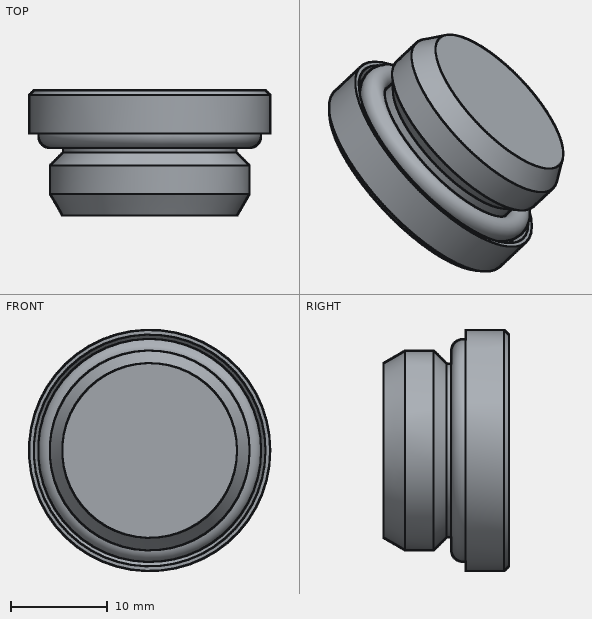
import cadquery as cq
import math


head_radius = 12.5
head_thickness = 4.5
back_chamfer = 0.5

neck_radius = 9.0
neck_end = 6.45
plug_radius = 10.35
plug_land_end = 10.75
total_length = 13.0
nose_angle = 30.0

ring_section_radius = 1.28
ring_center_radius = neck_radius + ring_section_radius
ring_center_depth = 4.72

groove_mouth_radius = 12.0
groove_wall_angle = 30.0
groove_floor = ring_center_depth - ring_section_radius
groove_floor_radius = groove_mouth_radius - (
    (head_thickness - groove_floor) * math.tan(math.radians(groove_wall_angle))
)

flank_end = neck_end + plug_radius - neck_radius
nose_radius = plug_radius - (total_length - plug_land_end) * math.tan(math.radians(nose_angle))


def make_plug():
    """Revolve the half section of the plug, given as (radius, -distance from the back)."""
    half_section = [
        (0, 0),
        (head_radius - back_chamfer, 0),
        (head_radius, -back_chamfer),
        (head_radius, -head_thickness),
        (groove_mouth_radius, -head_thickness),
        (groove_floor_radius, -groove_floor),
        (neck_radius, -groove_floor),
        (neck_radius, -neck_end),
        (plug_radius, -flank_end),
        (plug_radius, -plug_land_end),
        (nose_radius, -total_length),
        (0, -total_length),
    ]
    return cq.Workplane("XY").polyline(half_section).close().revolve(360, (0, 0), (0, 1))


def make_o_ring():
    """Torus that hugs the neck and rests on the groove floor."""
    return (
        cq.Workplane("XY")
        .center(ring_center_radius, -ring_center_depth)
        .circle(ring_section_radius)
        .revolve(360, (-ring_center_radius, 0), (-ring_center_radius, 1))
    )


plug = make_plug()
o_ring = make_o_ring()

result = cq.Compound.makeCompound([plug.val(), o_ring.val()])